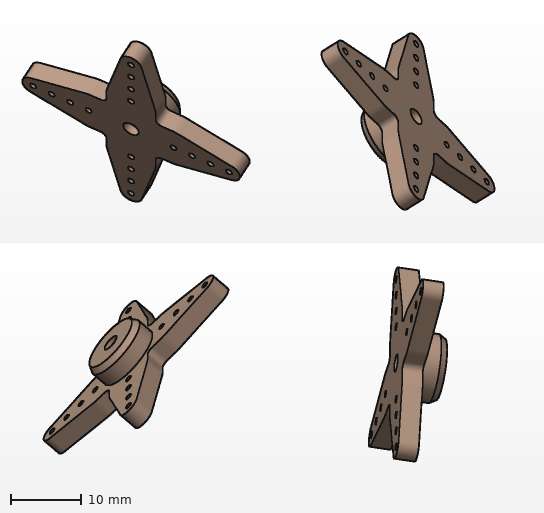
import cadquery as cq
import math

span = 35.3
plate_thickness = 3.0
total_depth = 6.5

arm_count = 4
arm_half_width = 4.0
tip_radius = 1.75
tip_center = span / 2 - tip_radius
knee_distance = 7.02
knee_radius = 3.53
inner_corner_radius = 1.0
selection_margin = 0.35

arm_hole_diameter = 1.0
arm_hole_pitch = 3.0
holes_per_arm = 4
bore_diameter = 2.5

hub_radius = 5.0
hub_chamfer_height = 1.0
hub_chamfer_width = 0.55

knee_to_tip = math.hypot(tip_center - knee_distance, arm_half_width)
taper_angle = math.atan2(arm_half_width, tip_center - knee_distance) - math.asin(tip_radius / knee_to_tip)
tangent_x = tip_center + tip_radius * math.sin(taper_angle)
tangent_z = tip_radius * math.cos(taper_angle)


def front_plane():
    """Sketch plane with local x along X, local y along Z and normal along -Y."""
    return cq.Workplane("XZ")


def make_arm():
    """One arm along +X, starting at the hub axis, with rounded knees."""
    return (
        front_plane()
        .moveTo(0, -arm_half_width)
        .lineTo(knee_distance, -arm_half_width)
        .lineTo(tangent_x, -tangent_z)
        .threePointArc((span / 2, 0), (tangent_x, tangent_z))
        .lineTo(knee_distance, arm_half_width)
        .lineTo(0, arm_half_width)
        .close()
        .extrude(-plate_thickness)
        .edges(cq.selectors.BoxSelector(
            (knee_distance - selection_margin, -selection_margin, -span),
            (knee_distance + selection_margin, plate_thickness + selection_margin, span),
        ))
        .edges("|Y")
        .fillet(knee_radius)
    )


def make_plate():
    """Four arms joined in a cross, with the inside corners rounded."""
    arm = make_arm()
    plate = arm
    for index in range(1, arm_count):
        plate = plate.union(arm.rotate((0, 0, 0), (0, 1, 0), index * 360 / arm_count))
    reach = arm_half_width + selection_margin
    inside_corners = cq.selectors.BoxSelector(
        (-reach, -selection_margin, -reach),
        (reach, plate_thickness + selection_margin, reach),
    )
    return plate.edges("|Y").edges(inside_corners).fillet(inner_corner_radius)


def make_hub():
    """Round hub with a chamfered rim, standing on the rear face of the plate."""
    rim_radius = hub_radius - hub_chamfer_width
    return (
        cq.Workplane("XY")
        .moveTo(0, plate_thickness)
        .lineTo(hub_radius, plate_thickness)
        .lineTo(hub_radius, total_depth - hub_chamfer_height)
        .lineTo(rim_radius, total_depth)
        .lineTo(0, total_depth)
        .close()
        .revolve(360, (0, 0, 0), (0, 1, 0))
    )


def make_holes():
    """Central bore and the row of small holes along each arm."""
    small_hole_points = []
    for arm_index in range(arm_count):
        angle = 2 * math.pi * arm_index / arm_count
        for hole_index in range(holes_per_arm):
            distance = tip_center - hole_index * arm_hole_pitch
            small_hole_points.append((distance * math.cos(angle), distance * math.sin(angle)))
    small_holes = (
        front_plane()
        .pushPoints(small_hole_points)
        .circle(arm_hole_diameter / 2)
        .extrude(-plate_thickness)
    )
    bore = front_plane().circle(bore_diameter / 2).extrude(-total_depth)
    return bore, small_holes


bore, small_holes = make_holes()
result = make_plate().union(make_hub()).cut(bore).cut(small_holes)